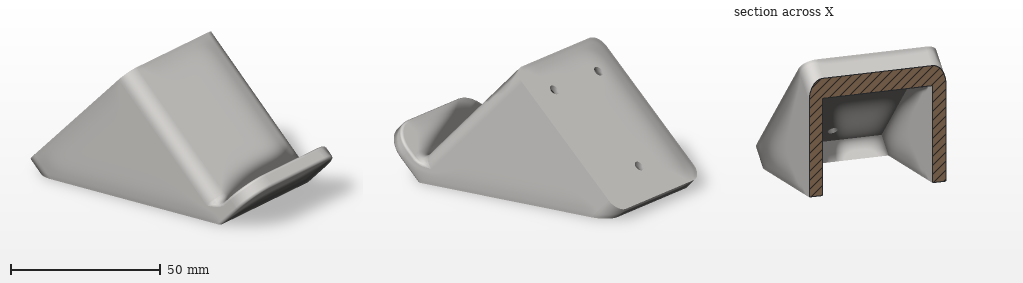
import cadquery as cq

side = 60.0
width = 50.0
wall = 5.0
plate_thickness = 2.0
hook_reach = 15.0
tilt = 45

body_corner_radius = 5.0
hook_corner_radius = 10.0
rim_radius = 0.95
inner_bend_radius = 3.0

hole_diameter = 3.5
lower_hole_from_end = 12.0
upper_hole_from_end = 48.0
upper_hole_offset = 13.0

body_start = wall / 2
plate_z = wall / 2
back_z = plate_z - side
hook_face_z = back_z + wall
body_end = body_start + side
hook_root = body_end - wall
hook_tip = body_end + hook_reach
margin = 0.01


def box(x_range, y_size, z_range):
    x_size = x_range[1] - x_range[0]
    z_size = z_range[1] - z_range[0]
    return (
        cq.Workplane("XY")
        .box(x_size, y_size, z_size, centered=(False, True, False))
        .translate((x_range[0], 0, z_range[0]))
    )


def make_body():
    body = box((body_start, body_end), width, (back_z, plate_z))
    return body.edges("|Z").fillet(body_corner_radius)


def make_hook():
    hook = box((hook_root, hook_tip), width, (back_z, hook_face_z))
    return hook.edges("|Z and >X").fillet(hook_corner_radius)


def round_inner_bend(part):
    """Blend the body end, round its two corners, into the hook face."""
    bend = cq.selectors.BoxSelector(
        (hook_root - margin, -width, hook_face_z - margin),
        (body_end + margin, width, hook_face_z + margin),
        boundingbox=True,
    )
    return part.edges(bend).fillet(inner_bend_radius)


def round_hook_face_rim(part):
    """Round the tip, the corner arcs and the short straight sides of the open hook face."""
    tip_edge = cq.selectors.NearestToPointSelector((hook_tip, 0, hook_face_z))
    return part.edges(tip_edge).fillet(rim_radius)


def round_hook_back_rim(part):
    return part.faces("<Z").edges().fillet(rim_radius)


def make_cavity():
    return box(
        (body_start + wall, body_end - wall),
        width - 2 * wall,
        (back_z, plate_z - plate_thickness),
    )


def make_holes():
    positions = [
        (body_start + lower_hole_from_end, 0),
        (body_start + upper_hole_from_end, upper_hole_offset),
        (body_start + upper_hole_from_end, -upper_hole_offset),
    ]
    return (
        cq.Workplane("XY", origin=(0, 0, plate_z))
        .pushPoints(positions)
        .circle(hole_diameter / 2)
        .extrude(-2 * plate_thickness)
    )


def cut_level_bottom(part):
    """Tilt the part and keep what lies above the horizontal plane through the origin."""
    tilted = part.rotate((0, 0, 0), (0, 1, 0), -tilt)
    extent = 2 * (side + hook_reach)
    upper_space = box((-extent, extent), 2 * width, (0, extent))
    return tilted.intersect(upper_space)


part = make_body().union(make_hook())
part = round_inner_bend(part)
part = round_hook_face_rim(part)
part = round_hook_back_rim(part)
part = part.cut(make_cavity()).cut(make_holes())
result = cut_level_bottom(part)